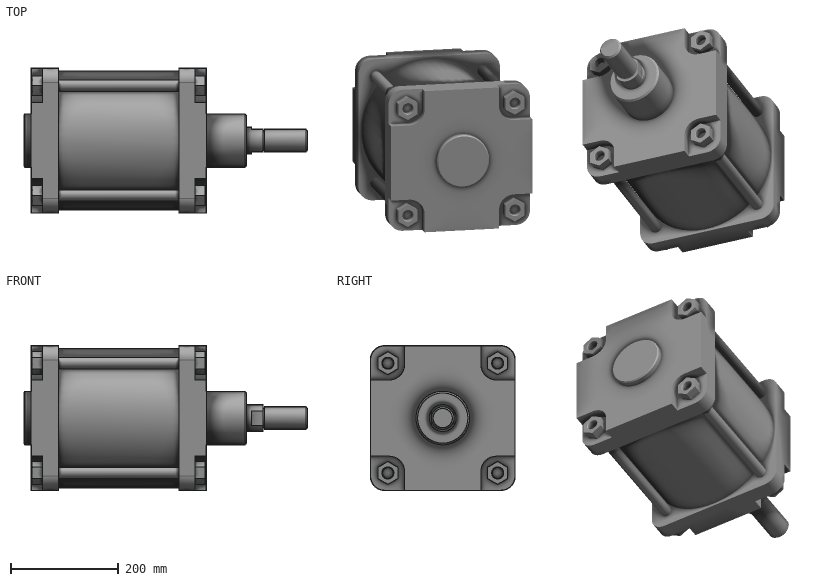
import cadquery as cq


overall_length = 528.0
rear_boss_length = 13.0
cap_length = 51.0
barrel_length = 224.0
collar_length = 75.0
plain_rod_length = 9.5
wrench_flat_length = 21.0
relief_groove_length = 2.5

cap_width = 270.0
cap_corner_radius = 27.0
boss_diameter = 100.0
rear_boss_chamfer = 2.0
collar_chamfer = 3.0

recess_width = 64.0
recess_depth = 21.0
recess_radius = 29.0

barrel_diameter = 260.0

tie_rod_spacing = 204.5
tie_rod_diameter = 21.0
nut_across_flats = 37.0
nut_height = 19.0
nut_bore_diameter = 20.0
nut_bore_depth = 16.0
nut_bore_chamfer = 1.0

rod_diameter = 50.0
wrench_width = 42.0
relief_groove_diameter = 37.5
thread_diameter = 42.0
thread_chamfer = 3.0

rear_cap_start = rear_boss_length
barrel_start = rear_cap_start + cap_length
barrel_end = barrel_start + barrel_length
front_cap_end = barrel_end + cap_length
collar_end = front_cap_end + collar_length
flats_start = collar_end + plain_rod_length
flats_end = flats_start + wrench_flat_length
thread_start = flats_end + relief_groove_length

corner_signs = [(y, z) for y in (-1, 1) for z in (-1, 1)]


def yz_plane(x):
    """Plane across the cylinder axis at station x, with its normal along +X."""
    return cq.Workplane("YZ", origin=(x, 0, 0))


def x_cylinder(start, end, diameter):
    """Cylinder on the X axis between two stations."""
    return yz_plane(start).circle(diameter / 2).extrude(end - start)


def make_cap(start, recess_start):
    """Square end cap with a nut recess and a tie rod hole in each corner."""
    cap = yz_plane(start).rect(cap_width, cap_width).extrude(cap_length)
    cap = cap.edges("|X").fillet(cap_corner_radius)

    cutter = yz_plane(recess_start).rect(2 * recess_width, 2 * recess_width).extrude(recess_depth)
    cutter = cutter.edges("|X").fillet(recess_radius)
    for y_sign, z_sign in corner_signs:
        corner = (0, y_sign * cap_width / 2, z_sign * cap_width / 2)
        cap = cap.cut(cutter.translate(corner))

    holes = (
        yz_plane(start)
        .rect(tie_rod_spacing, tie_rod_spacing, forConstruction=True)
        .vertices()
        .circle(tie_rod_diameter / 2)
        .extrude(cap_length)
    )
    return cap.cut(holes)


def make_rear_cap():
    """Rear cap with a short chamfered boss on its outer face."""
    boss = x_cylinder(0, rear_cap_start, boss_diameter)
    boss = boss.faces("<X").chamfer(rear_boss_chamfer)
    return make_cap(rear_cap_start, rear_cap_start).union(boss)


def make_front_cap():
    """Front cap with a long chamfered collar, bored through for the piston rod."""
    collar = x_cylinder(front_cap_end, collar_end, boss_diameter)
    collar = collar.faces(">X").chamfer(collar_chamfer)
    rod_bore = x_cylinder(barrel_end, collar_end, rod_diameter)
    return make_cap(barrel_end, front_cap_end - recess_depth).union(collar).cut(rod_bore)


def make_barrel():
    """Plain round barrel clamped between the two caps."""
    return x_cylinder(barrel_start, barrel_end, barrel_diameter)


def make_piston_rod():
    """Piston rod with two wrench flats, a relief groove and a threaded end."""
    body = x_cylinder(barrel_end, flats_end, rod_diameter)
    flats_middle = (flats_start + flats_end) / 2
    flats_block = cq.Workplane("XY").box(wrench_flat_length, rod_diameter, rod_diameter)
    kept_block = cq.Workplane("XY").box(wrench_flat_length, wrench_width, rod_diameter)
    flats_cutter = flats_block.cut(kept_block).translate((flats_middle, 0, 0))
    body = body.cut(flats_cutter)

    groove = x_cylinder(flats_end, thread_start, relief_groove_diameter)
    thread = x_cylinder(thread_start, overall_length, thread_diameter)
    thread = thread.faces(">X").chamfer(thread_chamfer)
    return body.union(groove).union(thread)


def make_tie_rod(y, z):
    """Tie rod with a hex nut at each end; each nut has a chamfered blind bore."""
    rear_seat = rear_cap_start + recess_depth
    front_seat = front_cap_end - recess_depth
    rear_end = rear_seat - nut_height
    front_end = front_seat + nut_height

    slab = cq.Workplane("XY").box(nut_height, nut_across_flats, 2 * nut_across_flats)
    nut = slab
    for angle in (60, 120):
        nut = nut.intersect(slab.rotate((0, 0, 0), (1, 0, 0), angle))

    tie_rod = x_cylinder(rear_seat, front_seat, tie_rod_diameter)
    for seat, end in ((rear_seat, rear_end), (front_seat, front_end)):
        tie_rod = tie_rod.union(nut.translate(((seat + end) / 2, 0, 0)))

    for selector in ("<X", ">X"):
        tie_rod = tie_rod.faces(selector).workplane(centerOption="CenterOfMass").cskHole(
            nut_bore_diameter,
            nut_bore_diameter + 2 * nut_bore_chamfer,
            90,
            depth=nut_bore_depth,
        )
    return tie_rod.translate((0, y, z))


rear_cap = make_rear_cap()
front_cap = make_front_cap()
barrel = make_barrel()
piston_rod = make_piston_rod()

tie_rods = []
for y_sign, z_sign in corner_signs:
    tie_rod = make_tie_rod(y_sign * tie_rod_spacing / 2, z_sign * tie_rod_spacing / 2)
    tie_rods.append(tie_rod.val())

result = cq.Compound.makeCompound(
    [rear_cap.val(), front_cap.val(), barrel.val(), piston_rod.val(), *tie_rods]
)